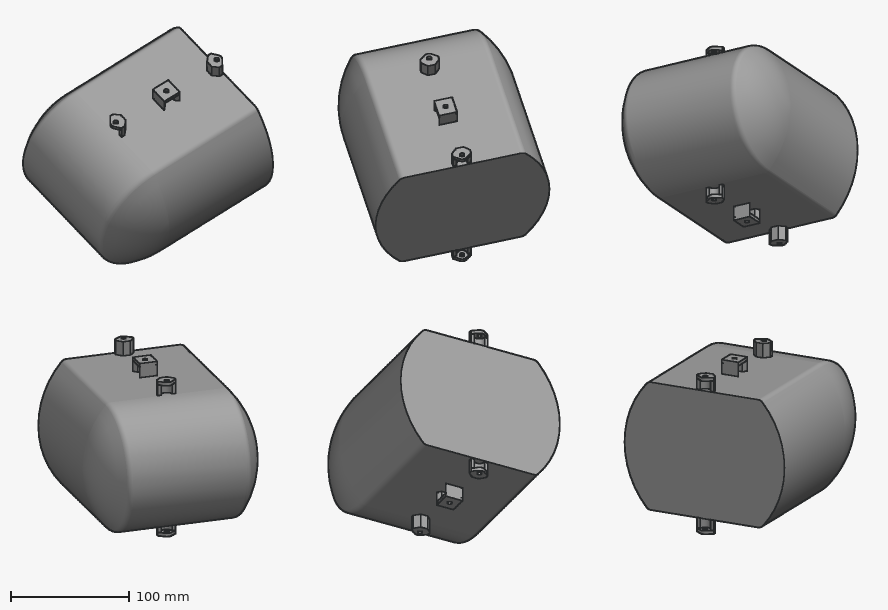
import cadquery as cq
import math

body_half_width = 76.3
body_half_height = 57.1
bulge_radius = 83.2
edge_radius = 6.0
total_height = 139.7
total_length = 171.5

bracket_width = 16.0
bridge_length = 16.5
opening_radius = 4.8
hole_diameter = 4.0
end_inset = 1.5

total_half_height = total_height / 2
bracket_half = bracket_width / 2
wall = bracket_half - opening_radius
bridge_half_length = bridge_length / 2
bridge_half_gap = bridge_half_length - wall
tip_overhang = opening_radius - end_inset
body_length = total_length - body_half_height - tip_overhang
foot_front_y = end_inset
foot_back_y = body_length - end_inset
middle_y = body_length / 2
plate_bottom_z = total_half_height - wall
embed = 1.7
leg_bottom_z = body_half_height - embed

bulge_center_x = body_half_width - bulge_radius
blend_center_z = body_half_height - edge_radius
center_distance = bulge_radius - edge_radius
blend_angle = math.asin(blend_center_z / center_distance)
flat_half_width = bulge_center_x + center_distance * math.cos(blend_angle)
blend_start_x = bulge_center_x + bulge_radius * math.cos(blend_angle)
blend_start_z = bulge_radius * math.sin(blend_angle)
blend_mid_angle = (blend_angle + math.pi / 2) / 2
blend_mid_x = flat_half_width + edge_radius * math.cos(blend_mid_angle)
blend_mid_z = blend_center_z + edge_radius * math.sin(blend_mid_angle)
bulge_mid_x = bulge_center_x + bulge_radius * math.cos(blend_angle / 2)
bulge_mid_z = bulge_radius * math.sin(blend_angle / 2)


def upper_profile():
    """Upper half of the body cross-section, closed along the X axis."""
    return (
        cq.Workplane("XZ")
        .moveTo(body_half_width, 0)
        .threePointArc((bulge_mid_x, bulge_mid_z), (blend_start_x, blend_start_z))
        .threePointArc((blend_mid_x, blend_mid_z), (flat_half_width, body_half_height))
        .lineTo(-flat_half_width, body_half_height)
        .threePointArc((-blend_mid_x, blend_mid_z), (-blend_start_x, blend_start_z))
        .threePointArc((-bulge_mid_x, bulge_mid_z), (-body_half_width, 0))
        .close()
    )


def make_body():
    """Straight body from Y = 0 to its flat back, with the nose below Y = 0."""
    upper_half = upper_profile().extrude(-body_length)
    straight = upper_half.union(upper_half.mirror("XY"))
    nose = upper_profile().revolve(180, (0, 0, 0), (1, 0, 0))
    return straight.union(nose)


def hole_cutter():
    """Cylinder through a bracket plate on the Z axis."""
    return (
        cq.Workplane("XY").workplane(offset=plate_bottom_z)
        .circle(hole_diameter / 2)
        .extrude(wall)
    )


def make_foot():
    """Half-octagon post with a round-tipped top plate; hole on the Z axis, tip toward -Y."""
    octagon_half_side = bracket_half * math.tan(math.pi / 8)
    tip_tangent_x = opening_radius ** 2 / bracket_half
    tip_tangent_y = -math.sqrt(opening_radius ** 2 - tip_tangent_x ** 2)
    post_outline = [
        (bracket_half, 0),
        (bracket_half, octagon_half_side),
        (octagon_half_side, bracket_half),
        (-octagon_half_side, bracket_half),
        (-bracket_half, octagon_half_side),
        (-bracket_half, 0),
    ]
    post = (
        cq.Workplane("XY").workplane(offset=leg_bottom_z)
        .polyline(post_outline).close()
        .extrude(total_half_height - leg_bottom_z)
    )
    opening = (
        cq.Workplane("XY").workplane(offset=leg_bottom_z)
        .circle(opening_radius)
        .extrude(plate_bottom_z - leg_bottom_z)
    )
    tip = (
        cq.Workplane("XY").workplane(offset=plate_bottom_z)
        .moveTo(bracket_half, 0)
        .lineTo(tip_tangent_x, tip_tangent_y)
        .threePointArc((0, -opening_radius), (-tip_tangent_x, tip_tangent_y))
        .lineTo(-bracket_half, 0)
        .close()
        .extrude(wall)
    )
    return post.cut(opening).union(tip).cut(hole_cutter())


def make_bridge():
    """Rectangular plate on two legs whose ends are mitred at 45 degrees."""
    plate = (
        cq.Workplane("XY").workplane(offset=plate_bottom_z)
        .rect(bracket_width, bridge_length)
        .extrude(wall)
    )
    leg_outline = [
        (-bracket_half, bridge_half_length),
        (bracket_half, bridge_half_length),
        (opening_radius, bridge_half_gap),
        (-opening_radius, bridge_half_gap),
    ]
    leg = (
        cq.Workplane("XY").workplane(offset=leg_bottom_z)
        .polyline(leg_outline).close()
        .extrude(plate_bottom_z - leg_bottom_z)
    )
    return plate.union(leg).union(leg.mirror("XZ")).cut(hole_cutter())


foot = make_foot()
top_brackets = [
    foot.translate((0, foot_front_y, 0)),
    make_bridge().translate((0, middle_y, 0)),
    foot.mirror("XZ").translate((0, foot_back_y, 0)),
]

result = make_body()
for bracket in top_brackets:
    result = result.union(bracket).union(bracket.mirror("XY"))